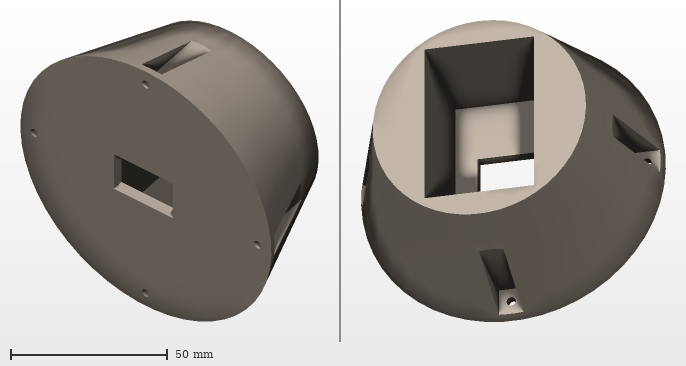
import cadquery as cq

depth = 45.0
front_radius = 50.0
back_radius = 35.0

plate_thickness = 4.0
window_width = 23.5
window_height = 14.8
window_center_x = -1.0
window_center_z = 0.6

cavity_width = 36.0
cavity_height = 54.0

screw_count = 4
screw_hole_diameter = 3.0
screw_circle_radius = 44.5
flange_thickness = 3.0
pocket_width = 8.0
pocket_floor_radius = 40.0


def box_along_y(width, height, y_start, y_end, center_x=0.0, center_z=0.0):
    """Block between two Y positions, centred on the given X and Z."""
    length = y_end - y_start
    return (
        cq.Workplane("XY")
        .box(width, length, height)
        .translate((center_x, y_start + length / 2, center_z))
    )


def tapered_body():
    profile = (
        cq.Workplane("YZ")
        .polyline([(0, 0), (0, front_radius), (depth, back_radius), (depth, 0)])
        .close()
    )
    return profile.revolve(360, (0, 0, 0), (1, 0, 0))


def window():
    return box_along_y(
        window_width, window_height, 0, plate_thickness, window_center_x, window_center_z
    )


def cavity():
    return box_along_y(cavity_width, cavity_height, plate_thickness, depth)


def screw_cutter():
    """Screw hole and side pocket at the top (+Z) of the body."""
    hole = (
        cq.Workplane("XZ")
        .center(0, screw_circle_radius)
        .circle(screw_hole_diameter / 2)
        .extrude(-flange_thickness)
    )
    pocket_height = front_radius - pocket_floor_radius
    pocket_center_z = pocket_floor_radius + pocket_height / 2
    pocket = box_along_y(
        pocket_width, pocket_height, flange_thickness, depth, center_z=pocket_center_z
    )
    return hole.union(pocket)


result = tapered_body().cut(window()).cut(cavity())
for index in range(screw_count):
    angle = index * 360 / screw_count
    result = result.cut(screw_cutter().rotate((0, 0, 0), (0, 1, 0), angle))